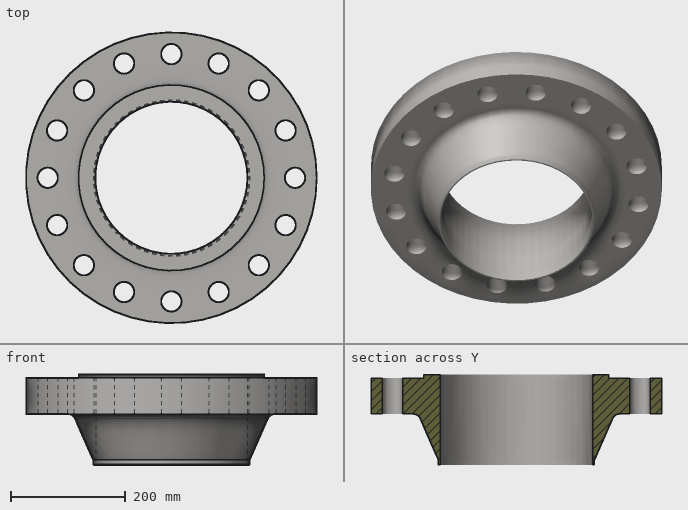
import cadquery as cq

flange_diameter = 508.0
flange_radius = flange_diameter / 2
total_height = 158.5
face_height = 6.0
face_radius = 162.0
flange_thickness = 63.5

neck_top_radius = 171.5
neck_end_radius = 136.5
neck_end_height = 9.0
neck_fillet = 12.0
end_chamfer = 1.5

bore_diameter = 265.0
bolt_circle_radius = 216.0
bolt_hole_diameter = 35.0
bolt_count = 16

flange_top = total_height - face_height
flange_bottom = flange_top - flange_thickness


def flange_body():
    """Revolve the half section of the disc, raised face and neck about Z."""
    section = (
        cq.Workplane("XZ")
        .moveTo(0, 0)
        .lineTo(neck_end_radius - end_chamfer, 0)
        .lineTo(neck_end_radius, end_chamfer)
        .lineTo(neck_end_radius, neck_end_height)
        .lineTo(neck_top_radius, flange_bottom)
        .lineTo(flange_radius, flange_bottom)
        .lineTo(flange_radius, flange_top)
        .lineTo(face_radius, flange_top)
        .lineTo(face_radius, total_height)
        .lineTo(0, total_height)
        .close()
    )
    body = section.revolve(360, (0, 0, 0), (0, 1, 0))
    neck_root = cq.selectors.RadiusNthSelector(-2)
    return body.edges("%CIRCLE").edges(neck_root).fillet(neck_fillet)


def cut_bore(body):
    bore = cq.Workplane("XY").circle(bore_diameter / 2).extrude(total_height)
    return body.cut(bore)


def cut_bolt_holes(body):
    """Drill the ring of bolt holes through the disc, one of them on the X axis."""
    holes = (
        cq.Workplane("XY")
        .workplane(offset=flange_bottom)
        .polarArray(bolt_circle_radius, 0, 360, bolt_count)
        .circle(bolt_hole_diameter / 2)
        .extrude(flange_thickness)
    )
    return body.cut(holes)


result = cut_bolt_holes(cut_bore(flange_body()))